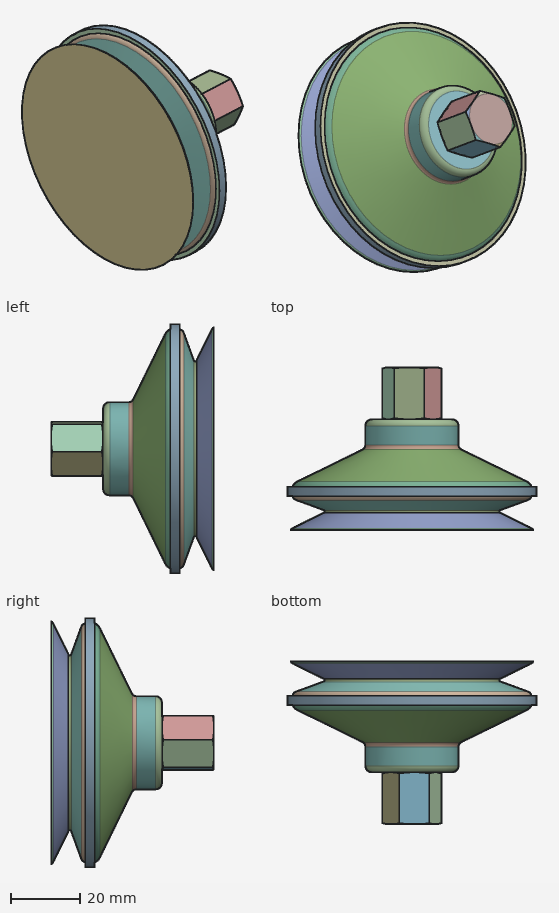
import cadquery as cq
import math


lip_radius = 35.1
lip_cone_radius = 34.55
lip_cone_start = 0.6

groove_radius = 25.3
groove_height = 5.4
groove_round_half_width = 0.4
groove_round_depth = 0.4

band_radius = 36.0
band_bottom = 9.9
band_top = 12.6
fold_radius = 34.55
lower_fold_round_radius = 33.4
lower_fold_round_start = 8.65
lower_fold_round = 1.8
upper_fold_round_radius = 33.1
upper_fold_round_end = 14.1

neck_radius = 27.0 / 2
neck_top = 32.05
neck_fillet = 1.95
cove_radius = 14.1
cove_bottom = 23.4
cove_top = 24.6

fitting_top = 47.0
hex_sides = 6
across_flats = 15.0
hex_turn = 5.5
corner_bevel_angle = 16.0


def make_cup():
    """Revolve the outer outline of the cup; radius lies along X, height along Y."""
    outline = (
        cq.Workplane("XY")
        .lineTo(0, neck_top)
        .lineTo(neck_radius - neck_fillet, neck_top)
        .tangentArcPoint((neck_radius, neck_top - neck_fillet), relative=False)
        .lineTo(neck_radius, cove_top)
        .tangentArcPoint((cove_radius, cove_bottom), relative=False)
        .lineTo(upper_fold_round_radius, upper_fold_round_end)
        .tangentArcPoint((fold_radius, band_top), relative=False)
        .lineTo(band_radius, band_top)
        .lineTo(band_radius, band_bottom)
        .lineTo(fold_radius, band_bottom)
        .radiusArc((lower_fold_round_radius, lower_fold_round_start), lower_fold_round)
        .lineTo(groove_radius + groove_round_depth, groove_height + groove_round_half_width)
        .threePointArc(
            (groove_radius, groove_height),
            (groove_radius + groove_round_depth, groove_height - groove_round_half_width),
        )
        .lineTo(lip_cone_radius, lip_cone_start)
        .tangentArcPoint((lip_radius, 0), relative=False)
        .close()
    )
    return outline.revolve(360, (0, 0, 0), (0, 1, 0))


def make_fitting():
    """Hexagonal prism on the neck with its corners bevelled conically at both ends."""
    flat_radius = across_flats / 2
    corner_radius = flat_radius / math.cos(math.pi / hex_sides)
    bevel_height = (corner_radius - flat_radius) * math.tan(math.radians(corner_bevel_angle))
    prism = (
        cq.Workplane("XZ")
        .polygon(hex_sides, 2 * corner_radius)
        .extrude(-fitting_top)
        .rotate((0, 0, 0), (0, 1, 0), -hex_turn)
    )
    bevel_envelope = (
        cq.Workplane("XY")
        .moveTo(0, neck_top)
        .lineTo(flat_radius, neck_top)
        .lineTo(corner_radius, neck_top + bevel_height)
        .lineTo(corner_radius, fitting_top - bevel_height)
        .lineTo(flat_radius, fitting_top)
        .lineTo(0, fitting_top)
        .close()
        .revolve(360, (0, 0, 0), (0, 1, 0))
    )
    return prism.intersect(bevel_envelope)


result = make_cup().union(make_fitting())